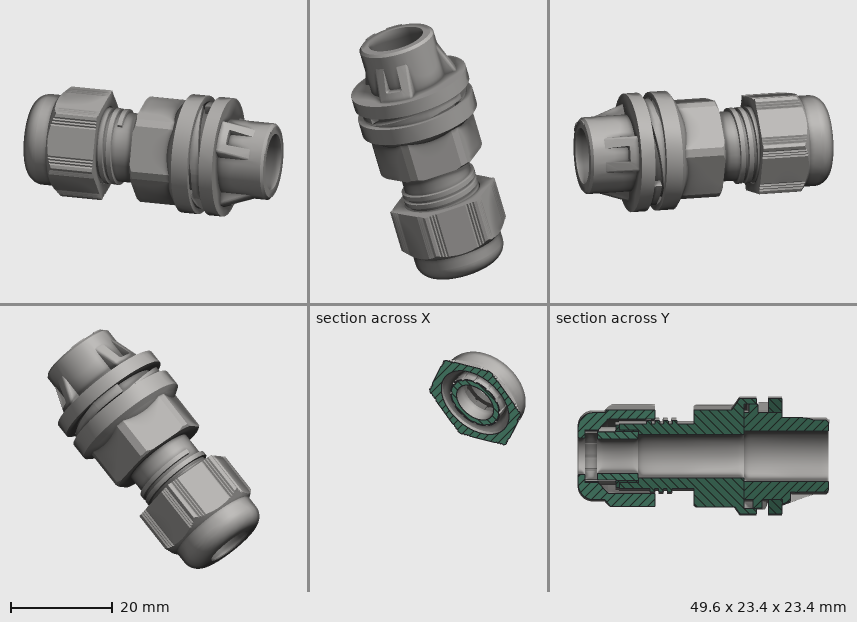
import cadquery as cq
import math


cap_dome_end = 3.05
cap_step = 5.3
cap_end = 15.3
neck_start = 8.2
hex_start = 22.85
cone_start = 30.2
cone_kink = 31.05
flange_start = 31.9
flange_end = 35.2
gasket_start = 37.55
gasket_end = 40.3
arm_end = 46.55
total_length = 49.6

flange_diameter = 23.45
hex_tilt = 10.7
hex_apothem = 9.45
bore_diameter = 9.8
cage_diameter = 11.4
seal_diameter = 10.8
weld = 0.25

cap_diameter = 17.95
cap_mouth_diameter = 8.7
cap_mouth_chamfer = 0.2
cap_wall = 1.5
cap_bore_diameter = 15.5
cap_corner_radius = 10.85
cap_cone_length = 1.6
cap_cavity_end = 3.95
cap_cavity_cone = (cap_bore_diameter - cage_diameter) / 2
groove_count = 3
groove_pitch = 0.6
groove_depth = 0.25
grip_start = 3.0

neck_diameter = 13.75
thread_diameter = 15.1
thread_pitch = 1.7
thread_root = 1.15
thread_crest = 0.9
thread_turns = 3.5
thread_end = 19.15
thread_end_angle = 126
body_corner_radius = 10.4
body_chamfer = 0.5
body_face_radius = 9.95
body_rim_radius = 10.5
pocket_depth = 2.5

seal_bore_diameter = 8.45
seal_start = 3.75
seal_end = 11.9
finger_count = 12
finger_slot = 0.6
collar_diameter = 13.4
collar_thickness = 0.75

core_diameter = 17.95
tail_diameter = 15.2
tail_bore_diameter = 11.1
tail_chamfer = 0.5
tail_pad_height = 0.15
tail_pad_diameter = 14.4
tail_pad_width = 0.5
tail_pads = [(80, 106), (127, 149)]
bayonet_count = 3
bayonet_diameter = 21.2
bayonet_width = 1.9
bayonet_end_angle = 182
bayonet_ramp = 90
bayonet_stop = 33
bayonet_pitch = 9.35
arm_count = 3
arm_angle = 134
arm_width = 7.0
arm_base_diameter = 19.65
arm_fillet = 0.6
window_start = 41.9
window_span = 21
window_fillet = 0.35


def turned(points):
    """Solid of revolution about X from (x, radius) points."""
    return cq.Workplane("XY").polyline(points).close().revolve(360, (0, 0, 0), (1, 0, 0))


def rod(start, end, diameter):
    return cq.Workplane("YZ", origin=(start, 0, 0)).circle(diameter / 2).extrude(end - start)


def tube(start, end, outer, inner):
    return rod(start, end, outer).cut(rod(start, end, inner))


def hexagon(start, end):
    prism = cq.Workplane("YZ", origin=(start, 0, 0)).polygon(6, 2 * hex_apothem / math.cos(math.pi / 6))
    return prism.extrude(end - start).rotate((0, 0, 0), (1, 0, 0), hex_tilt)


def about_axis(shape, angle):
    return shape.rotate((0, 0, 0), (1, 0, 0), angle)


def sector(start, end, radius, first_angle, last_angle):
    """Pie slice about the axis, for spans below 180 degrees."""
    angles = [math.radians(a) for a in (first_angle, (first_angle + last_angle) / 2, last_angle)]
    first, middle, last = [(radius * math.cos(a), radius * math.sin(a)) for a in angles]
    slice_ = cq.Workplane("YZ", origin=(start, 0, 0)).lineTo(*first).threePointArc(middle, last).close()
    return slice_.extrude(end - start)


def helical_bar(inner, outer, root, crest, pitch, sweep_angle, end_x, end_angle):
    """Tapered bar that climbs along +X and stops with its middle at end_x; root and crest are widths."""
    length = pitch * sweep_angle / 360
    helix = cq.Wire.makeHelix(pitch, length, inner)
    section = cq.Workplane("XZ").polyline([
        (inner, -root / 2),
        (outer, -crest / 2),
        (outer, crest / 2),
        (inner, root / 2),
    ]).close()
    bar = section.sweep(cq.Workplane(helix), isFrenet=True).val()
    bar = bar.moved(cq.Location(cq.Plane.YZ(origin=(end_x - length, 0, 0))))
    return about_axis(cq.Workplane(bar), end_angle - sweep_angle)


def make_dome():
    """Front of the cap nut, rounded over from its flat face to its side."""
    radius = cap_diameter / 2
    bulge = cap_dome_end * (1 - math.cos(math.pi / 4))
    profile = cq.Workplane("XY").moveTo(0, radius - cap_dome_end)
    profile = profile.threePointArc((bulge, radius - bulge), (cap_dome_end, radius))
    profile = profile.lineTo(cap_step, radius).lineTo(cap_step, 0).lineTo(0, 0).close()
    return profile.revolve(360, (0, 0, 0), (1, 0, 0))


def make_grooves():
    """Grip grooves along both sides of one flat, the flat being at +Z."""
    grooves = cq.Workplane("YZ", origin=(cap_step, 0, 0))
    for side in (-1, 1):
        for index in range(groove_count):
            near = grip_start + index * groove_pitch
            grooves = grooves.polyline([
                (side * near, hex_apothem),
                (side * (near + groove_pitch / 2), hex_apothem - groove_depth),
                (side * (near + groove_pitch), hex_apothem),
            ]).close()
    return grooves.extrude(cap_end - cap_step)


def make_cap_nut():
    envelope = turned([
        (cap_step, 0),
        (cap_step, cap_diameter / 2),
        (cap_step + cap_cone_length, cap_corner_radius),
        (cap_end, cap_corner_radius),
        (cap_end, 0),
    ])
    grip = hexagon(cap_step, cap_end).intersect(envelope)
    grooves = make_grooves()
    for flat in range(6):
        grip = grip.cut(about_axis(grooves, hex_tilt + 60 * flat))
    mouth = cap_mouth_diameter / 2
    cavity = turned([
        (0, 0),
        (0, mouth + cap_mouth_chamfer),
        (cap_mouth_chamfer, mouth),
        (cap_wall, mouth),
        (cap_wall, cage_diameter / 2),
        (cap_cavity_end, cage_diameter / 2),
        (cap_cavity_end + cap_cavity_cone, cap_bore_diameter / 2),
        (cap_end, cap_bore_diameter / 2),
        (cap_end, 0),
    ])
    return make_dome().union(grip).cut(cavity)


def make_gland_body():
    neck = rod(neck_start, hex_start, neck_diameter)
    thread = helical_bar(
        neck_diameter / 2 - weld, thread_diameter / 2, thread_root, thread_crest,
        thread_pitch, 360 * thread_turns, thread_end, thread_end_angle,
    )
    envelope = turned([
        (hex_start, 0),
        (hex_start, body_face_radius),
        (hex_start + body_chamfer, body_rim_radius),
        (flange_start, body_rim_radius),
        (flange_start, 0),
    ])
    grip = hexagon(hex_start, flange_start).intersect(envelope)
    corners = cq.Workplane("YZ", origin=(hex_start, 0, 0))
    corners = corners.polygon(6, 2 * body_corner_radius / math.cos(math.pi / 6))
    corners = corners.extrude(flange_start - hex_start)
    grip = grip.intersect(about_axis(corners, hex_tilt + 30))
    flange = turned([
        (cone_start, 0),
        (cone_start, hex_apothem),
        (cone_kink, body_rim_radius),
        (flange_start, flange_diameter / 2),
        (flange_end, flange_diameter / 2),
        (flange_end, 0),
    ])
    body = neck.union(thread).union(grip).union(flange)
    body = body.cut(rod(neck_start, flange_end, bore_diameter))
    body = body.cut(rod(neck_start, seal_end, cage_diameter))
    return body.cut(rod(flange_end - pocket_depth, flange_end, bayonet_diameter))


def make_clamp_cage():
    cage = tube(cap_wall, seal_end, cage_diameter, seal_diameter)
    collar_start = neck_start - collar_thickness
    slot = cq.Workplane("XY").box(
        collar_start - cap_wall, cage_diameter, finger_slot, centered=(False, False, True)
    ).translate((cap_wall, 0, 0))
    for finger in range(finger_count):
        cage = cage.cut(about_axis(slot, finger * 360 / finger_count))
    return cage.union(tube(collar_start, neck_start, collar_diameter, seal_diameter))


def make_seal():
    return tube(seal_start, seal_end, seal_diameter, seal_bore_diameter)


def make_bayonet():
    """One ramp with its straight stop, against the gasket."""
    outer = bayonet_diameter / 2
    inner = core_diameter / 2 - weld
    middle = gasket_start - bayonet_width / 2
    ramp = helical_bar(
        inner, outer, bayonet_width, bayonet_width,
        bayonet_pitch, bayonet_ramp, middle, bayonet_end_angle,
    )
    ramp = ramp.cut(rod(0, flange_end - pocket_depth, 2 * flange_diameter))
    stop = sector(
        gasket_start - bayonet_width, gasket_start, outer,
        bayonet_end_angle, bayonet_end_angle + bayonet_stop,
    )
    return ramp.union(stop)


def make_arm():
    """One snap arm: a wedge with parallel sides and a shallow window, pointing to +Z."""
    wedge = turned([
        (gasket_end, 0),
        (gasket_end, arm_base_diameter / 2),
        (arm_end, tail_diameter / 2),
        (arm_end, 0),
    ])
    slab = cq.Workplane("XY", origin=(gasket_end, 0, 0))
    slab = slab.box(arm_end - gasket_end, arm_width, arm_base_diameter, centered=(False, True, False))
    arm = wedge.intersect(slab)
    arm = arm.faces("<Y or >Y").edges(">Z").fillet(arm_fillet)
    window = sector(
        window_start, arm_end, arm_base_diameter, 90 - window_span / 2, 90 + window_span / 2
    )
    window = window.cut(rod(window_start, arm_end, tail_diameter))
    window = window.faces("<X").edges("%LINE").fillet(window_fillet)
    return arm.cut(window)


def make_tail():
    tail = rod(gasket_end, total_length - tail_pad_height, tail_diameter).faces(">X").chamfer(tail_chamfer)
    tail = tail.union(rod(flange_end - pocket_depth, gasket_end, core_diameter))
    bayonet = make_bayonet()
    for index in range(bayonet_count):
        tail = tail.union(about_axis(bayonet, index * 360 / bayonet_count))
    arm = make_arm()
    for index in range(arm_count):
        tail = tail.union(about_axis(arm, arm_angle - 90 + index * 360 / arm_count))
    for first, last in tail_pads:
        pad = sector(arm_end, total_length, tail_pad_diameter / 2, first, last)
        pad = pad.cut(rod(arm_end, total_length, tail_pad_diameter - 2 * tail_pad_width))
        tail = tail.union(pad)
    return tail.cut(rod(flange_end - pocket_depth, total_length, tail_bore_diameter))


def make_gasket():
    return tube(gasket_start, gasket_end, flange_diameter, core_diameter)


cap_nut = make_cap_nut()
gland_body = make_gland_body()
clamp_cage = make_clamp_cage()
seal = make_seal()
tail = make_tail()
gasket = make_gasket()

result = cq.Compound.makeCompound([
    cap_nut.val(),
    gland_body.val(),
    clamp_cage.val(),
    seal.val(),
    tail.val(),
    gasket.val(),
])